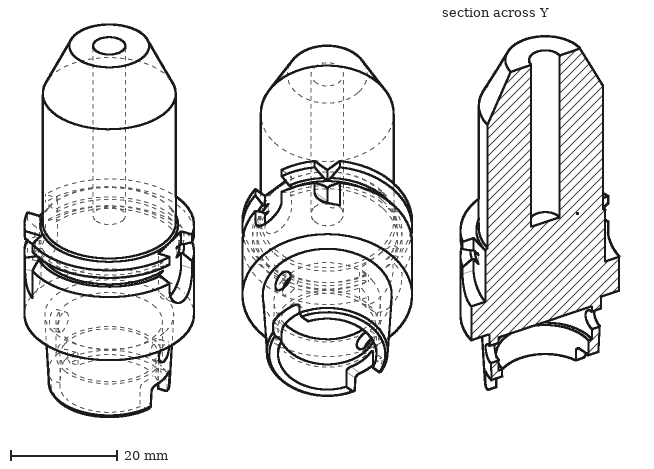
import cadquery as cq
import math

total_height = 76.0
flange_radius = 16.0
shank_length = 15.95
shank_top_radius = 12.15
shank_end_radius = 11.4
shank_end_chamfer = 0.45
shank_chamfer_height = 0.7
flange_top = 36.0
body_radius = 12.55
body_foot_chamfer = 0.45
nose_radius = 7.5
nose_height = 10.65

groove_radius = 13.26
groove_bottom = 31.15
groove_top = 33.2
groove_chamfer_angle = 30.0
groove_chamfer_width = 1.9

bore_radius = 3.05
bore_depth = 38.0
socket_radius = 9.3
socket_depth = 14.45
clamp_recess_radius = 10.0
clamp_recess_bottom = 6.85
cross_hole_radius = 2.015
cross_hole_height = 11.2

slot_floor = 13.0
slot_bottom = 24.0
narrow_slot_width = 7.1
wide_slot_width = 8.9
corner_slot_x = -9.46
corner_slot_y = -9.54

notch_width = narrow_slot_width
notch_fillet = 0.9
left_notch_height = 3.2
right_notch_height = 5.0

groove_chamfer_height = groove_chamfer_width * math.tan(math.radians(groove_chamfer_angle))
lip_radius = flange_radius - groove_chamfer_width
cut_reach = 2 * flange_radius


def make_body():
    profile = [
        (0, 0),
        (shank_end_radius - shank_end_chamfer, 0),
        (shank_end_radius, shank_chamfer_height),
        (shank_top_radius, shank_length),
        (flange_radius, shank_length),
        (flange_radius, groove_bottom - groove_chamfer_height),
        (lip_radius, groove_bottom),
        (groove_radius, groove_bottom),
        (groove_radius, groove_top),
        (lip_radius, groove_top),
        (flange_radius, groove_top + groove_chamfer_height),
        (flange_radius, flange_top),
        (body_radius + body_foot_chamfer, flange_top),
        (body_radius, flange_top + body_foot_chamfer),
        (body_radius, total_height - nose_height),
        (nose_radius, total_height),
        (0, total_height),
    ]
    return cq.Workplane("XZ").polyline(profile).close().revolve(360, (0, 0), (0, 1))


def make_slot(inner_x, side, center_y, width):
    """Round-bottomed slot, open at the top, running outward from inner_x along side * X."""
    radius = width / 2
    center_z = slot_bottom + radius
    return (
        cq.Workplane("YZ", origin=(inner_x, center_y, 0))
        .moveTo(-radius, flange_top)
        .lineTo(-radius, center_z)
        .threePointArc((0, slot_bottom), (radius, center_z))
        .lineTo(radius, flange_top)
        .close()
        .extrude(side * cut_reach)
    )


def make_notch(side, height):
    """Notch through one side of the shank wall, with rounded upper corners."""
    return (
        cq.Workplane("XY")
        .box(cut_reach, notch_width, height, centered=(False, True, False))
        .edges("|X and >Z")
        .fillet(notch_fillet)
        .rotate((0, 0, 0), (0, 0, 1), 0 if side > 0 else 180)
    )


result = make_body()

nose_bore = cq.Workplane("XY", origin=(0, 0, total_height)).circle(bore_radius).extrude(-bore_depth)
socket = cq.Workplane("XY").circle(socket_radius).extrude(socket_depth)
clamp_recess = (
    cq.Workplane("XY", origin=(0, 0, clamp_recess_bottom))
    .circle(clamp_recess_radius)
    .extrude(socket_depth - clamp_recess_bottom)
)
result = result.cut(nose_bore).cut(socket).cut(clamp_recess)

corner_slot_center_y = corner_slot_y - narrow_slot_width / 2
result = result.cut(make_slot(-slot_floor, -1, 0, narrow_slot_width))
result = result.cut(make_slot(slot_floor, 1, 0, wide_slot_width))
result = result.cut(make_slot(corner_slot_x, -1, corner_slot_center_y, narrow_slot_width))

result = result.cut(make_notch(-1, left_notch_height))
result = result.cut(make_notch(1, right_notch_height))
cross_hole = (
    cq.Workplane("YZ")
    .center(0, cross_hole_height)
    .circle(cross_hole_radius)
    .extrude(cut_reach, both=True)
)
result = result.cut(cross_hole)